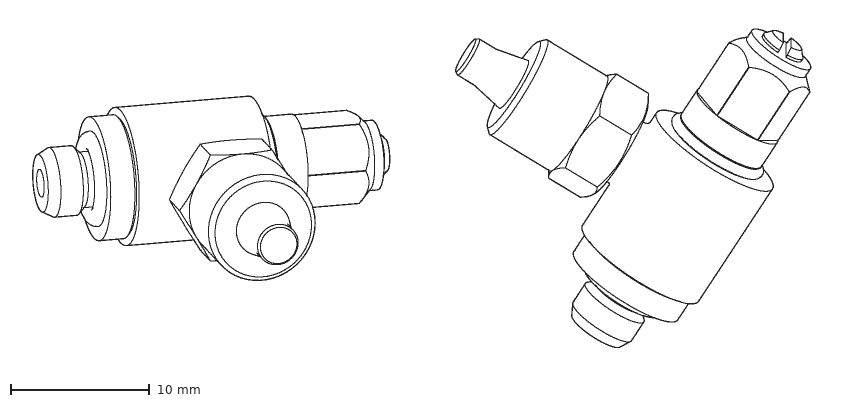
import cadquery as cq
import math


SLEEVE_R = 5.0
SLEEVE_TOP = 3.5
SLEEVE_BOTTOM = -6.5
BORE_R = 3.45

HEX_CORNER_RATIO = 1 / math.cos(math.pi / 6)

ARM_NECK_R = 2.53
ARM_NECK_FILLET = 0.3
ARM_HEX_FLATS = 8.0
ARM_HEX_START = 5.85
ARM_HEX_END = 9.4
ARM_HEX_FACE_R = 3.82
HEX_BEVEL_ANGLE = 30
ARM_BARREL_R = ARM_HEX_FLATS / 2
ARM_BARREL_END = 14.89
ARM_BARREL_CHAMFER = 0.39
NOZZLE_ROOT_R = 2.0
NOZZLE_R = 1.52
NOZZLE_CONE_END = 17.35
NOZZLE_END = 19.0
NOZZLE_CHAMFER = 0.15
NOZZLE_CHAMFER_LENGTH = 0.23

COLLAR_R = 4.5
COLLAR_CHAMFER = 0.18
COLLAR_BOTTOM = -8.5
SEAL_MINOR_R = 0.7
SEAL_MAJOR_R = BORE_R - SEAL_MINOR_R
STUD_R = 2.53
UNDERCUT_R = 2.0
UNDERCUT_END = -9.47
STUD_SHOULDER = UNDERCUT_END - (STUD_R - UNDERCUT_R)
STUD_TAPER_START = -11.65
STUD_END_R = 2.1
STUD_END = -12.5
PORT_R = 1.0

RING_MINOR_R = 0.39
RING_Y = 3.92
RING_MAJOR_R = BORE_R
RING_GAP = 0.6
GROOVE_FLOOR_R = 3.4
GROOVE_END = 4.39
BOLT_HEX_FLATS = 6.0
BOLT_HEX_START = 6.58
HEAD_R = STUD_R
HEX_BEVEL_START = 10.9
HEAD_START = HEX_BEVEL_START + BORE_R - HEAD_R
HEAD_RIM = 12.51
HEAD_END = 12.6
HEAD_FACE_R = 1.94
SCREW_R = 1.68
SCREW_TIP_R = 1.25
SCREW_END = 13.3
SCREW_SHOULDER = 12.8
SLOT_WIDTH = 0.67


def revolve_about_x(profile):
    """Turn (x, radius) points about the X axis."""
    return cq.Workplane("XY").polyline(profile).close().revolve(360, (0, 0), (1, 0))


def revolve_about_y(profile):
    """Turn (radius, y) points about the Y axis."""
    return cq.Workplane("XY").polyline(profile).close().revolve(360, (0, 0), (0, 1))


def torus_about_y(major_r, minor_r, y):
    """Round ring centred on the Y axis at height y."""
    section = cq.Workplane("XY").center(major_r, y).circle(minor_r)
    return section.revolve(360, (-major_r, 0), (-major_r, 1))


def make_arm_hexagon():
    """Hexagon with corners on +-Y, bevelled conically at both ends."""
    corner_d = ARM_HEX_FLATS * HEX_CORNER_RATIO
    bevel_slope = math.tan(math.radians(HEX_BEVEL_ANGLE))
    start_bevel = (corner_d / 2 - ARM_HEX_FACE_R) * bevel_slope
    end_bevel = (corner_d / 2 - ARM_BARREL_R) * bevel_slope
    prism = (
        cq.Workplane("YZ", origin=(ARM_HEX_START, 0, 0))
        .polygon(6, corner_d)
        .extrude(ARM_HEX_END - ARM_HEX_START)
    )
    envelope = revolve_about_x([
        (ARM_HEX_START, 0),
        (ARM_HEX_START, ARM_HEX_FACE_R),
        (ARM_HEX_START + start_bevel, corner_d / 2),
        (ARM_HEX_END - end_bevel, corner_d / 2),
        (ARM_HEX_END, ARM_BARREL_R),
        (ARM_HEX_END, 0),
    ])
    return prism.intersect(envelope)


def make_nozzle():
    """Barrel behind the hexagon and the tapered hose nozzle in front of it."""
    return revolve_about_x([
        (ARM_HEX_END, 0),
        (ARM_HEX_END, ARM_BARREL_R),
        (ARM_BARREL_END - ARM_BARREL_CHAMFER, ARM_BARREL_R),
        (ARM_BARREL_END, ARM_BARREL_R - ARM_BARREL_CHAMFER),
        (ARM_BARREL_END, NOZZLE_ROOT_R),
        (NOZZLE_CONE_END, NOZZLE_R),
        (NOZZLE_END - NOZZLE_CHAMFER_LENGTH, NOZZLE_R),
        (NOZZLE_END, NOZZLE_R - NOZZLE_CHAMFER),
        (NOZZLE_END, 0),
    ])


def make_body():
    """Sleeve with the side arm, bored through for the bolt."""
    sleeve = revolve_about_y([
        (0, SLEEVE_BOTTOM),
        (SLEEVE_R, SLEEVE_BOTTOM),
        (SLEEVE_R, SLEEVE_TOP),
        (0, SLEEVE_TOP),
    ])
    neck = cq.Workplane("YZ").circle(ARM_NECK_R).extrude(ARM_HEX_START)
    joint_zone = cq.selectors.BoxSelector(
        (SLEEVE_R / 2, -SLEEVE_R / 2, -SLEEVE_R / 2),
        ((SLEEVE_R + ARM_HEX_START) / 2, SLEEVE_R / 2, SLEEVE_R / 2),
    )
    sleeve_and_neck = sleeve.union(neck).edges(joint_zone).fillet(ARM_NECK_FILLET)
    bore = (
        cq.Workplane("XZ", origin=(0, SLEEVE_TOP, 0))
        .circle(BORE_R)
        .extrude(SLEEVE_TOP - SLEEVE_BOTTOM)
    )
    return sleeve_and_neck.cut(bore).union(make_arm_hexagon()).union(make_nozzle())


def make_retaining_ring():
    """Split ring in the groove above the sleeve, its gap facing +Z."""
    ring = torus_about_y(RING_MAJOR_R, RING_MINOR_R, RING_Y)
    gap = (
        cq.Workplane("XY", origin=(0, RING_Y, 0))
        .rect(RING_GAP, 2 * RING_MINOR_R)
        .extrude(2 * RING_MAJOR_R)
    )
    return ring.cut(gap)


def make_bolt_hexagon():
    """Hexagon of the bolt with corners on +-X, bevelled down to the head."""
    corner_d = BOLT_HEX_FLATS * HEX_CORNER_RATIO
    prism = (
        cq.Workplane("XZ", origin=(0, HEAD_START, 0))
        .polygon(6, corner_d)
        .extrude(HEAD_START - BOLT_HEX_START)
    )
    envelope = revolve_about_y([
        (0, BOLT_HEX_START),
        (BORE_R, BOLT_HEX_START),
        (BORE_R, HEX_BEVEL_START),
        (HEAD_R, HEAD_START),
        (0, HEAD_START),
    ])
    return prism.intersect(envelope)


def make_head():
    """Round head with the slotted adjusting screw on top."""
    head = revolve_about_y([
        (0, HEAD_START),
        (HEAD_R, HEAD_START),
        (HEAD_R, HEAD_RIM),
        (HEAD_FACE_R, HEAD_END),
        (SCREW_R, HEAD_END),
        (SCREW_R, SCREW_SHOULDER),
        (SCREW_TIP_R, SCREW_END),
        (0, SCREW_END),
    ])
    slot = (
        cq.Workplane("XZ", origin=(0, SCREW_END, 0))
        .rect(SLOT_WIDTH, 2 * SCREW_R)
        .extrude(SCREW_END - HEAD_END)
    )
    return head.cut(slot)


def make_bolt():
    """Hollow bolt through the sleeve, with its collar, seal, ring and head."""
    shank = revolve_about_y([
        (0, STUD_END),
        (STUD_END_R, STUD_END),
        (STUD_R, STUD_TAPER_START),
        (STUD_R, STUD_SHOULDER),
        (UNDERCUT_R, UNDERCUT_END),
        (UNDERCUT_R, COLLAR_BOTTOM),
        (COLLAR_R, COLLAR_BOTTOM),
        (COLLAR_R, SLEEVE_BOTTOM - COLLAR_CHAMFER),
        (COLLAR_R - COLLAR_CHAMFER, SLEEVE_BOTTOM),
        (BORE_R, SLEEVE_BOTTOM),
        (BORE_R, SLEEVE_TOP),
        (GROOVE_FLOOR_R, SLEEVE_TOP),
        (GROOVE_FLOOR_R, GROOVE_END),
        (BORE_R, GROOVE_END),
        (BORE_R, BOLT_HEX_START),
        (0, BOLT_HEX_START),
    ])
    seal = torus_about_y(SEAL_MAJOR_R, SEAL_MINOR_R, COLLAR_BOTTOM)
    port = cq.Workplane("XZ").circle(PORT_R).extrude(-STUD_END)
    bolt = shank.union(seal).union(make_retaining_ring())
    return bolt.union(make_bolt_hexagon()).union(make_head()).cut(port)


body = make_body()
bolt = make_bolt()
result = cq.Compound.makeCompound([body.val(), bolt.val()])